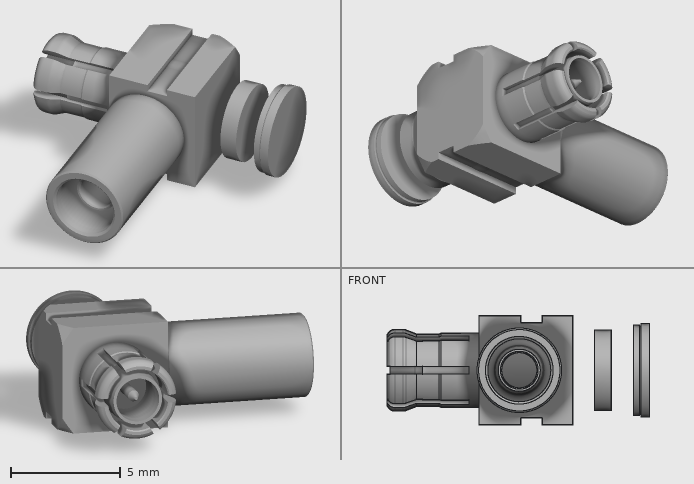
import cadquery as cq
import math


block_width = 4.3
block_side = 5.0
block_half = block_side / 2
cable_offset = 1.85
block_left = -cable_offset
block_right = block_left + block_width
corner_circle_radius = 2.76

notch_start = 1.92
notch_width = 0.97
notch_depth = 0.34
core_strip_width = 0.72
core_radius = math.hypot(block_half - notch_depth, core_strip_width / 2)

sleeve_radius = 1.93
sleeve_length = 6.9
sleeve_edge = 0.07
sleeve_bore_radius = 1.44
bore_edge = 0.11

stem_radius = 1.14
stem_tip_radius = 0.96
stem_length = 5.55
stem_fillet = sleeve_bore_radius - stem_radius
stem_bore_radius = 0.8
stem_bore_edge = 0.06

collet_length = 4.2
mouth_radius = 1.62
nose_radius = 1.75
nose_edge = 4.11
bulge_radius = 1.87
bulge_outer = 3.83
bulge_inner = 3.46
bulge_blend = 3.34
bulge_blend_drop = 0.02
neck_radius = 1.66
neck_outer = 2.86
neck_inner = 1.81
root_radius = 1.7
root_outer = 1.74
collet_bore_radius = 1.42
mouth_edge = 0.06
gap_floor = 2.58

slot_count = 6
slot_width = 0.36
slot_end = 0.46
slot_floor_radius = 1.483

tube_radius = 1.25
tube_tip_radius = 1.147
tube_tip = 4.07
tube_taper_end = 2.92
tube_bore_radius = 1.01
tube_bore_floor = 1.74

pin_radius = 0.258
pin_tip_radius = 0.07
pin_tip = 3.78
pin_shoulder = 3.3

disc_radius = 1.844
disc_start = block_right + 0.98
disc_thickness = 0.78
cap_radius = 2.15
cap_plug_radius = 2.08
cap_groove_radius = 2.03
cap_start = block_right + 2.76
cap_plug_length = 0.28
cap_groove_width = 0.07
cap_end = block_left - collet_length + 12.01


def disc_on_x(radius, start, end):
    """Solid cylinder on the contact axis between two X positions."""
    return cq.Workplane("YZ").workplane(offset=start).circle(radius).extrude(end - start)


def revolve_about_x(profile):
    return profile.close().revolve(360, (0, 0, 0), (1, 0, 0))


def revolve_about_y(profile):
    return profile.close().revolve(360, (0, 0, 0), (0, 1, 0))


def out(distance):
    """X position at a distance from the block's -X face towards the collet mouth."""
    return block_left - distance


def make_block():
    block_center_x = block_left + block_width / 2
    block = cq.Workplane("XY").box(block_width, block_side, block_side).translate((block_center_x, 0, 0))

    cone_base_radius = corner_circle_radius + block_side
    cone = (
        cq.Workplane("XY")
        .moveTo(0, -block_half)
        .lineTo(cone_base_radius, -block_half)
        .lineTo(corner_circle_radius, block_half)
        .lineTo(0, block_half)
    )
    block = block.intersect(revolve_about_y(cone).translate((block_center_x, 0, 0)))

    notch_center_x = block_left + notch_start + notch_width / 2
    for side in (-1, 1):
        notch_center_z = side * (block_half - notch_depth / 2)
        notch = cq.Workplane("XY").box(notch_width, block_side, notch_depth)
        block = block.cut(notch.translate((notch_center_x, 0, notch_center_z)))
    return block


def make_sleeve():
    """Crimp sleeve with bevelled ends, standing on the block's -Y face."""
    near = -block_half
    far = -block_half - sleeve_length
    profile = (
        cq.Workplane("XY")
        .moveTo(sleeve_bore_radius, near)
        .lineTo(sleeve_radius - sleeve_edge, near)
        .lineTo(sleeve_radius, near - sleeve_edge)
        .lineTo(sleeve_radius, far + sleeve_edge)
        .lineTo(sleeve_radius - sleeve_edge, far)
        .lineTo(sleeve_bore_radius + bore_edge, far)
        .lineTo(sleeve_bore_radius, far + bore_edge)
    )
    return revolve_about_y(profile)


def make_stem():
    """Hollow tapered stem in the sleeve, blended into the block face by a fillet."""
    near = -block_half
    far = near - stem_length
    profile = (
        cq.Workplane("XY")
        .moveTo(stem_bore_radius, near)
        .lineTo(stem_radius + stem_fillet, near)
        .radiusArc((stem_radius, near - stem_fillet), -stem_fillet)
        .lineTo(stem_tip_radius, far)
        .lineTo(stem_bore_radius + stem_bore_edge, far)
        .lineTo(stem_bore_radius, far + stem_bore_edge)
    )
    return revolve_about_y(profile)


def make_stem_bore():
    """Hole through the block's -Y wall, ending at the core."""
    return cq.Workplane("XZ").circle(stem_bore_radius).extrude(block_half)


def make_collet():
    nose_run = nose_edge - bulge_outer
    nose_drop = bulge_radius - nose_radius
    nose_arc_radius = (nose_run**2 + nose_drop**2) / (2 * nose_drop)
    blend_run = bulge_inner - bulge_blend
    blend_arc_radius = (blend_run**2 + bulge_blend_drop**2) / (2 * bulge_blend_drop)
    profile = (
        cq.Workplane("XY")
        .moveTo(out(0), 0)
        .lineTo(out(gap_floor), 0)
        .lineTo(out(gap_floor), collet_bore_radius)
        .lineTo(out(collet_length - mouth_edge), collet_bore_radius)
        .lineTo(out(collet_length), collet_bore_radius + mouth_edge)
        .lineTo(out(collet_length), mouth_radius)
        .lineTo(out(nose_edge), nose_radius)
        .radiusArc((out(bulge_outer), bulge_radius), nose_arc_radius)
        .lineTo(out(bulge_inner), bulge_radius)
        .radiusArc((out(bulge_blend), bulge_radius - bulge_blend_drop), blend_arc_radius)
        .lineTo(out(neck_outer), neck_radius)
        .lineTo(out(neck_inner), neck_radius)
        .lineTo(out(root_outer), root_radius)
        .lineTo(out(0), root_radius)
    )
    return revolve_about_x(profile)


def make_slots():
    """Radial slots that leave everything inside the slot floor radius standing."""
    slot_length = collet_length - slot_end
    slot_height = bulge_radius + 0.12
    slots = cq.Workplane("XY")
    for index in range(slot_count):
        slot = (
            cq.Workplane("XY")
            .box(slot_length, slot_height, slot_width, centered=(False, False, True))
            .translate((out(collet_length), 0, 0))
            .rotate((0, 0, 0), (1, 0, 0), index * 360 / slot_count)
        )
        slots = slots.add(slot)
    floor = disc_on_x(slot_floor_radius, out(gap_floor), out(slot_end))
    return slots.combine().cut(floor)


def make_tube():
    """Insulator tube with a slightly tapered tip; its bore is cut separately."""
    profile = (
        cq.Workplane("XY")
        .moveTo(out(gap_floor), 0)
        .lineTo(out(tube_tip), 0)
        .lineTo(out(tube_tip), tube_tip_radius)
        .lineTo(out(tube_taper_end), tube_radius)
        .lineTo(out(gap_floor), tube_radius)
    )
    return revolve_about_x(profile)


def make_pin():
    profile = (
        cq.Workplane("XY")
        .moveTo(out(tube_bore_floor), 0)
        .lineTo(out(pin_tip), 0)
        .lineTo(out(pin_tip), pin_tip_radius)
        .lineTo(out(pin_shoulder), pin_radius)
        .lineTo(out(tube_bore_floor), pin_radius)
    )
    return revolve_about_x(profile)


def make_housing():
    collet = make_collet().cut(make_slots()).union(make_tube())
    collet = collet.cut(disc_on_x(tube_bore_radius, out(tube_tip), out(tube_bore_floor)))
    collet = collet.union(make_pin())
    core = disc_on_x(core_radius, block_left, block_right)
    block = make_block().cut(make_stem_bore()).union(core)
    return block.union(make_sleeve()).union(make_stem()).union(collet)


def make_disc():
    return disc_on_x(disc_radius, disc_start, disc_start + disc_thickness)


def make_cap():
    groove_start = cap_start + cap_plug_length
    flange_start = groove_start + cap_groove_width
    plug = disc_on_x(cap_plug_radius, cap_start, groove_start)
    groove = disc_on_x(cap_groove_radius, groove_start, flange_start)
    flange = disc_on_x(cap_radius, flange_start, cap_end)
    return plug.union(groove).union(flange)


housing = make_housing()
disc = make_disc()
cap = make_cap()

result = cq.Compound.makeCompound([housing.val(), disc.val(), cap.val()])